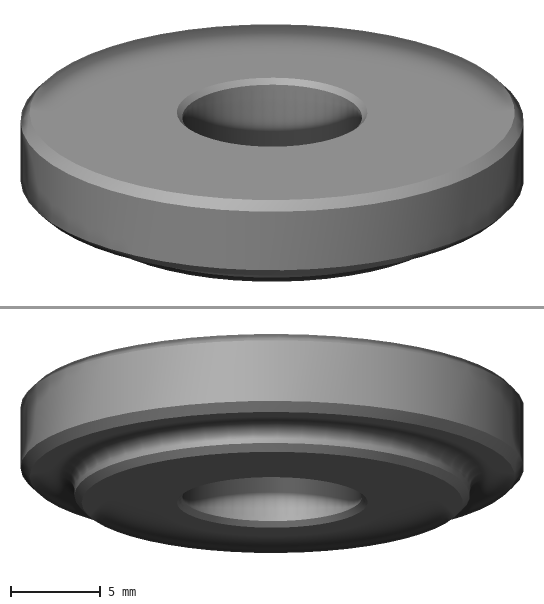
import cadquery as cq
import math

flange_radius = 14.0
boss_radius = 11.0
bore_radius = 5.0
total_height = 6.0
boss_height = 1.5

flange_chamfer = 0.5
boss_chamfer = 0.4
bore_chamfer = 0.3
root_fillet = 0.8

fillet_center_radius = boss_radius + root_fillet
fillet_center_z = boss_height - root_fillet
fillet_mid_offset = root_fillet * math.sqrt(0.5)
fillet_mid = (fillet_center_radius - fillet_mid_offset, fillet_center_z + fillet_mid_offset)


def half_section():
    """Radius-height section of the ring, starting at the foot of the bore."""
    return (
        cq.Workplane("XZ")
        .moveTo(bore_radius + bore_chamfer, 0)
        .lineTo(boss_radius - boss_chamfer, 0)
        .lineTo(boss_radius, boss_chamfer)
        .lineTo(boss_radius, fillet_center_z)
        .threePointArc(fillet_mid, (fillet_center_radius, boss_height))
        .lineTo(flange_radius - flange_chamfer, boss_height)
        .lineTo(flange_radius, boss_height + flange_chamfer)
        .lineTo(flange_radius, total_height - flange_chamfer)
        .lineTo(flange_radius - flange_chamfer, total_height)
        .lineTo(bore_radius + bore_chamfer, total_height)
        .lineTo(bore_radius, total_height - bore_chamfer)
        .lineTo(bore_radius, bore_chamfer)
        .close()
    )


result = half_section().revolve(360, (0, 0, 0), (0, 1, 0))